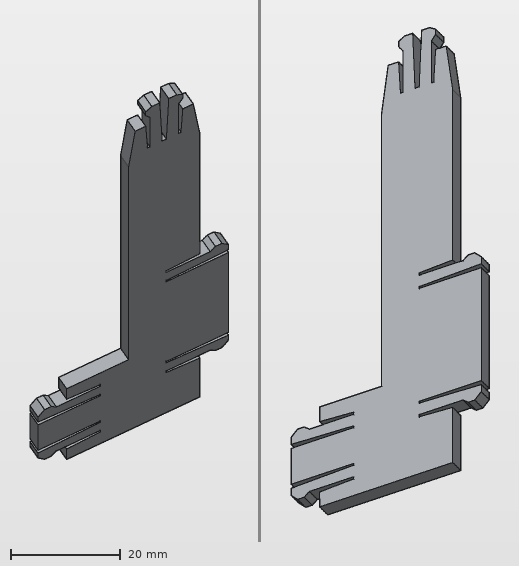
import cadquery as cq

thickness = 3.0
height = 98.5
stem_width = 15.0
foot_length = 13.0
foot_height = 22.3

slot_depth = 7.1
finger_root_width = 2.6
finger_end_width = 2.1
barb_height = 0.9
outer_slot_root = 0.5
outer_slot_mouth = 0.9

side_overhang = 6.0
block_slot_root = 0.4
side_barb = (3.8, 2.8, 1.4)
side_nose_drop = 0.5
back_block_width = 25.1
back_joint_z = 28.7
foot_block_width = 8.0
foot_joint_z = foot_height / 2

tip_overhang = 5.3
tip_gap_root = 0.9
tip_barb = (3.2, 2.0, 0.8)
tip_nose_drop = 0.4
tip_shoulder_width = 12.2
tip_taper_length = 10.2

half_stem = stem_width / 2
foot_edge = half_stem + foot_length
shoulder_z = height - tip_overhang


def half_joint(overhang, finger_inner_root, barb, nose_drop, block_half=None):
    """Half of a finger pair as (outward from plate edge, distance from pair axis) points."""
    finger_outer = finger_inner_root + finger_root_width
    ramp_start, crest_start, crest_end = [overhang - distance for distance in barb]
    crest = finger_outer + barb_height
    points = [
        (0, finger_outer + outer_slot_mouth),
        (-slot_depth, finger_outer + outer_slot_root),
        (-slot_depth, finger_outer),
        (ramp_start, finger_outer),
        (crest_start, crest),
        (crest_end, crest),
        (overhang, finger_outer - nose_drop),
        (overhang, finger_outer - finger_end_width),
        (-slot_depth, finger_inner_root),
    ]
    if block_half is not None:
        points += [(-slot_depth, block_half), (overhang, block_half)]
    return points


def full_joint(half):
    """Mirror a half joint, running from the positive to the negative side of its axis."""
    return half + [(out, -across) for out, across in reversed(half)]


def side_joint(block_width):
    block_half = block_width / 2
    inner_root = block_half + block_slot_root
    return full_joint(half_joint(side_overhang, inner_root, side_barb, side_nose_drop, block_half))


tip_joint = full_joint(half_joint(tip_overhang, tip_gap_root / 2, tip_barb, tip_nose_drop))

outline = [(half_stem, 0)]
outline += [(half_stem + out, back_joint_z - across) for out, across in side_joint(back_block_width)]
outline += [(half_stem, shoulder_z - tip_taper_length), (tip_shoulder_width / 2, shoulder_z)]
outline += [(across, shoulder_z + out) for out, across in tip_joint]
outline += [(-tip_shoulder_width / 2, shoulder_z), (-half_stem, shoulder_z - tip_taper_length)]
outline += [(-half_stem, foot_height), (-foot_edge, foot_height)]
outline += [(-foot_edge - out, foot_joint_z + across) for out, across in side_joint(foot_block_width)]
outline += [(-foot_edge, 0)]

result = cq.Workplane("YZ").polyline(outline).close().extrude(thickness / 2, both=True)